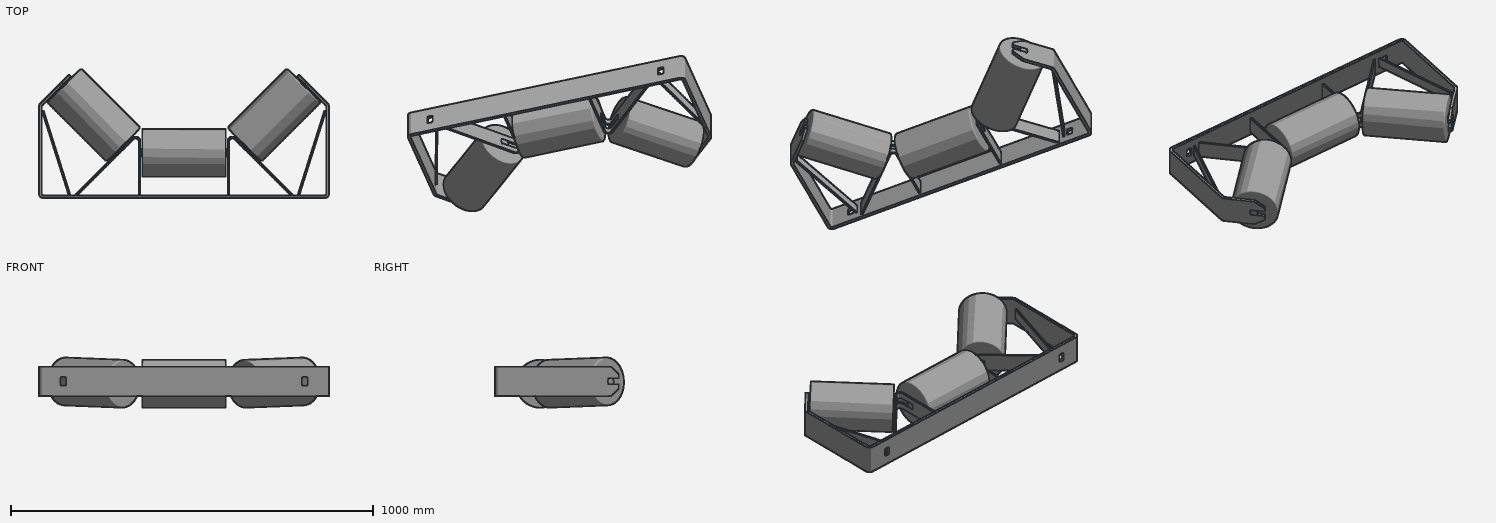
import cadquery as cq
import math

TROUGH_ANGLE = 45.0
COS_45 = math.sqrt(0.5)
SIDES = (1, -1)

frame_length = 800.0
frame_width = 82.0
frame_thickness = 8.0
corner_radius = 13.0
bend_y = 258.0
flange_length = 118.0
tip_chamfer_along = 30.0
tip_chamfer_across = 20.0

bolt_slot_width = 16.0
bolt_slot_height = 25.0
bolt_slot_radius = 5.0
bolt_slot_x = 333.0

roller_diameter = 133.0
roller_length = 230.0
roller_edge_radius = 4.0
shaft_diameter = 22.0
shaft_flat_width = 16.0
shoulder_clearance = 0.4
centre_roller_y = 125.0
centre_roller_z = -6.0
centre_end_gap = 5.0
wing_end_gap = 4.0
wing_seat = 87.0
wing_z = -3.0
wing_tilt = 1.6

bracket_width = 50.0
bracket_thickness = 5.0
bracket_bend_radius = 14.0
slot_reach = 80.0

strut_width = 30.0
strut_thickness_x = 5.2
strut_base_x = 313.0
strut_top_y = 242.0

half_length = frame_length / 2
wall_x = half_length - frame_thickness
bend_inner_y = bend_y - frame_thickness * math.tan(math.radians(TROUGH_ANGLE / 2))
half_roller = roller_length / 2
wing_offset = frame_thickness + wing_end_gap + half_roller
wing_x = half_length - (wing_seat + wing_offset) * COS_45
wing_y = bend_y + (wing_seat - wing_offset) * COS_45
bracket_x = half_roller + centre_end_gap
bend_x = bracket_x + bracket_bend_radius
slant_sum = wing_x + wing_y - (half_roller + wing_end_gap) / COS_45
bend_centre_y = slant_sum - bend_x - bracket_bend_radius / COS_45


def for_side(shape, side):
    """Keep a right-hand shape, or mirror it to the left."""
    return shape if side > 0 else shape.mirror("YZ")


def on_wing_axis(shape):
    """Move a shape built around the X axis onto the right wing roller axis."""
    tilted = shape.rotate((0, 0, 0), (0, 1, 0), -wing_tilt)
    turned = tilted.rotate((0, 0, 0), (0, 0, 1), TROUGH_ANGLE)
    return turned.translate((wing_x, wing_y, wing_z))


def on_centre_axis(shape):
    """Move a shape built around the X axis onto the centre roller axis."""
    return shape.translate((0, centre_roller_y, centre_roller_z))


def shaft_end(start, length):
    """Shaft end with two flats, along +X from start."""
    rod = cq.Workplane("YZ", origin=(start, 0, 0)).circle(shaft_diameter / 2).extrude(length)
    flats = cq.Workplane("YZ", origin=(start, 0, 0)).rect(shaft_diameter, shaft_flat_width).extrude(length)
    return rod.intersect(flats)


def shaft_slot(start, length):
    """Cutter for a slot that seats a shaft end and opens towards +Y."""
    channel = (
        cq.Workplane("YZ", origin=(start, 0, 0))
        .center(slot_reach / 2, 0)
        .rect(slot_reach, shaft_flat_width)
        .extrude(length)
    )
    return shaft_end(start, length).union(channel)


def roller(end_gap, left_support, right_support):
    """Roller with its shaft along X; each shaft end fills the thickness of its support."""
    reach = half_roller + end_gap - shoulder_clearance
    body = (
        cq.Workplane("YZ", origin=(-half_roller, 0, 0))
        .circle(roller_diameter / 2)
        .extrude(roller_length)
        .edges()
        .fillet(roller_edge_radius)
    )
    shaft = cq.Workplane("YZ", origin=(-reach, 0, 0)).circle(shaft_diameter / 2).extrude(2 * reach)
    left_end = shaft_end(-reach - left_support - shoulder_clearance, left_support + shoulder_clearance)
    right_end = shaft_end(reach, right_support + shoulder_clearance)
    return body.union(shaft).union(left_end).union(right_end)


def tip_corners():
    """Cutter for the two bevelled corners of the right flange tip."""
    flange = cq.Plane((half_length, bend_y, 0), xDir=(-COS_45, COS_45, 0), normal=(COS_45, COS_45, 0))
    edge_z = frame_width / 2
    upper = (
        cq.Workplane(flange)
        .moveTo(flange_length, edge_z)
        .lineTo(flange_length - tip_chamfer_along, edge_z)
        .lineTo(flange_length, edge_z - tip_chamfer_across)
        .close()
        .extrude(-frame_thickness)
    )
    return upper.union(upper.mirror("XY"))


def make_frame():
    """Base strip, side walls and slanted flanges, with bolt slots and shaft slots."""
    tip_x = half_length - flange_length * COS_45
    tip_y = bend_y + flange_length * COS_45
    step = frame_thickness * COS_45
    right = [
        (half_length, 0),
        (half_length, bend_y),
        (tip_x, tip_y),
        (tip_x - step, tip_y - step),
        (wall_x, bend_inner_y),
        (wall_x, frame_thickness),
    ]
    left = [(-x, y) for x, y in reversed(right)]
    frame = (
        cq.Workplane("XY", origin=(0, 0, -frame_width / 2))
        .polyline(right + left)
        .close()
        .extrude(frame_width)
    )

    def bend_edges(x, y):
        """Select the upright edge at the point x, y."""
        margin = frame_thickness / 10
        low = (x - margin, y - margin, -margin)
        high = (x + margin, y + margin, margin)
        return cq.selectors.BoxSelector(low, high)

    inner_radius = corner_radius - frame_thickness
    for side in SIDES:
        for y in (0, bend_y):
            frame = frame.edges(bend_edges(side * half_length, y)).fillet(corner_radius)
        for y in (frame_thickness, bend_inner_y):
            frame = frame.edges(bend_edges(side * wall_x, y)).fillet(inner_radius)

    bolt_slots = (
        cq.Workplane("XZ")
        .pushPoints([(side * bolt_slot_x, 0) for side in SIDES])
        .rect(bolt_slot_width, bolt_slot_height)
        .extrude(-frame_thickness)
        .edges("|Y")
        .fillet(bolt_slot_radius)
    )
    frame = frame.cut(bolt_slots)

    slot_start = half_roller + wing_end_gap - shoulder_clearance
    flange_slot = shaft_slot(slot_start, frame_thickness + 2 * shoulder_clearance)
    for side in SIDES:
        frame = frame.cut(for_side(tip_corners(), side))
        frame = frame.cut(for_side(on_wing_axis(flange_slot), side))
    return frame


def make_bracket(side):
    """Bent strip that holds the centre roller on one leg and a wing roller on the other."""
    back_x = bracket_x + bracket_thickness
    inner_radius = bracket_bend_radius - bracket_thickness
    slant_inner_sum = slant_sum - bracket_thickness / COS_45

    slant_angle = math.radians(TROUGH_ANGLE)
    middle_angle = (math.pi + slant_angle) / 2

    def bend_point(radius, angle):
        return bend_x + radius * math.cos(angle), bend_centre_y + radius * math.sin(angle)

    strip = (
        cq.Workplane("XY", origin=(0, 0, centre_roller_z - bracket_width / 2))
        .moveTo(bracket_x, frame_thickness)
        .lineTo(bracket_x, bend_centre_y)
        .threePointArc(
            bend_point(bracket_bend_radius, middle_angle),
            bend_point(bracket_bend_radius, slant_angle),
        )
        .lineTo(slant_sum - frame_thickness, frame_thickness)
        .lineTo(slant_inner_sum - frame_thickness, frame_thickness)
        .lineTo(*bend_point(inner_radius, slant_angle))
        .threePointArc(bend_point(inner_radius, middle_angle), (back_x, bend_centre_y))
        .lineTo(back_x, frame_thickness)
        .close()
        .extrude(bracket_width)
    )
    centre_slot = on_centre_axis(shaft_slot(bracket_x, bracket_bend_radius))
    wing_slot_start = half_roller + wing_end_gap - shoulder_clearance
    wing_slot = shaft_slot(wing_slot_start, bracket_bend_radius + shoulder_clearance)
    strip = strip.cut(centre_slot).cut(on_wing_axis(wing_slot.mirror("YZ")))
    return for_side(strip, side)


def make_strut(side):
    """Slanted flat bar from the base strip to the top of the side wall."""
    strut = (
        cq.Workplane("XY", origin=(0, 0, -strut_width / 2))
        .moveTo(strut_base_x, frame_thickness)
        .lineTo(strut_base_x + strut_thickness_x, frame_thickness)
        .lineTo(wall_x, strut_top_y)
        .lineTo(wall_x - strut_thickness_x, strut_top_y)
        .close()
        .extrude(strut_width)
    )
    return for_side(strut, side)


def make_centre_roller():
    """Level roller between the two brackets."""
    return on_centre_axis(roller(centre_end_gap, bracket_thickness, bracket_thickness))


def make_wing_roller(side):
    """Tilted roller between a bracket and the flange of the frame."""
    return for_side(on_wing_axis(roller(wing_end_gap, bracket_thickness, frame_thickness)), side)


frame = make_frame()
centre_roller = make_centre_roller()
bodies = [frame.val(), centre_roller.val()]
for side in SIDES:
    bodies.append(make_bracket(side).val())
    bodies.append(make_strut(side).val())
    bodies.append(make_wing_roller(side).val())

result = cq.Compound.makeCompound(bodies)